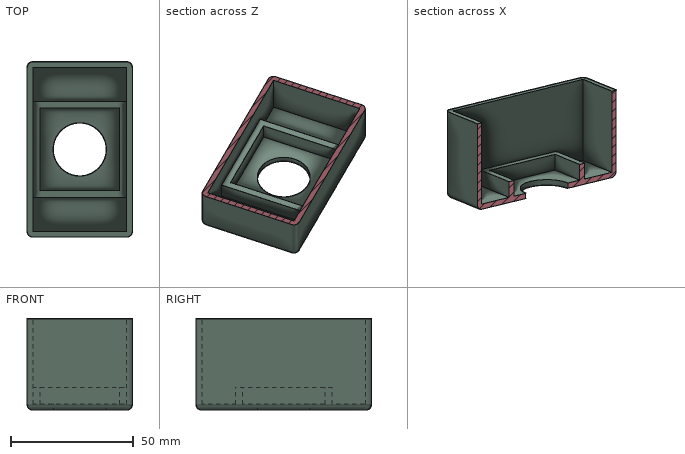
import cadquery as cq

width = 42.9
length = 71.4
height = 37.2
wall = 2.4
floor_thickness = 2.4
edge_radius = 2.4

frame_length = 39.1
frame_wall = 2.8
frame_height = 6.7

opening_diameter = 21.5

cavity_width = width - 2 * wall
cavity_length = length - 2 * wall


def block(size_x, size_y, size_z, base_z):
    """Box centred on the Z axis with its underside at base_z."""
    return (
        cq.Workplane("XY")
        .workplane(offset=base_z)
        .rect(size_x, size_y)
        .extrude(size_z)
    )


body = block(width, length, height, 0)
body = body.edges("|Z or <Z").fillet(edge_radius)

cavity = block(cavity_width, cavity_length, height - floor_thickness, floor_thickness)
body = body.cut(cavity)

pad = block(cavity_width, frame_length, frame_height, floor_thickness)
pocket = block(
    cavity_width - 2 * frame_wall,
    frame_length - 2 * frame_wall,
    frame_height,
    floor_thickness,
)
body = body.union(pad.cut(pocket))

opening = cq.Workplane("XY").circle(opening_diameter / 2).extrude(floor_thickness)
result = body.cut(opening)